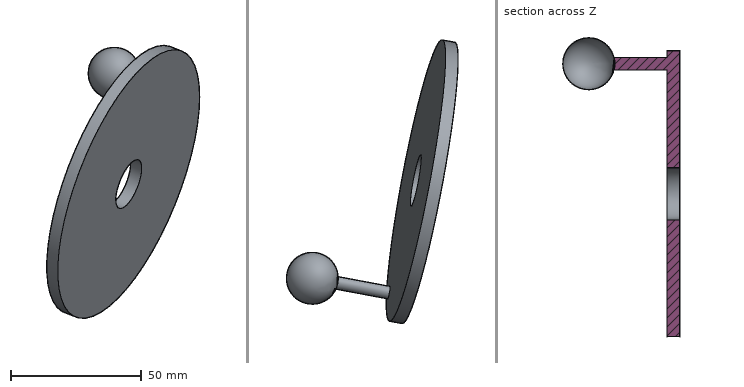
import cadquery as cq

overall_length = 115.0
disc_diameter = 110.0
disc_thickness = 5.0
bore_diameter = 20.0
ball_diameter = 20.0
rod_diameter = 5.0
ball_standoff = 30.0

handle_offset = overall_length - disc_diameter / 2 - ball_diameter / 2


def make_disc():
    """Flat disc with a central bore, its handle-side face at X = 0."""
    return (
        cq.Workplane("YZ")
        .circle(disc_diameter / 2)
        .circle(bore_diameter / 2)
        .extrude(disc_thickness)
    )


def make_handle():
    """Rod standing on the disc face, ending in a ball on the -X side."""
    rod = (
        cq.Workplane("YZ")
        .center(handle_offset, 0)
        .circle(rod_diameter / 2)
        .extrude(-ball_standoff)
    )
    ball = (
        cq.Workplane("XY")
        .sphere(ball_diameter / 2)
        .translate((-ball_standoff, handle_offset, 0))
    )
    return rod.union(ball)


result = make_disc().union(make_handle())